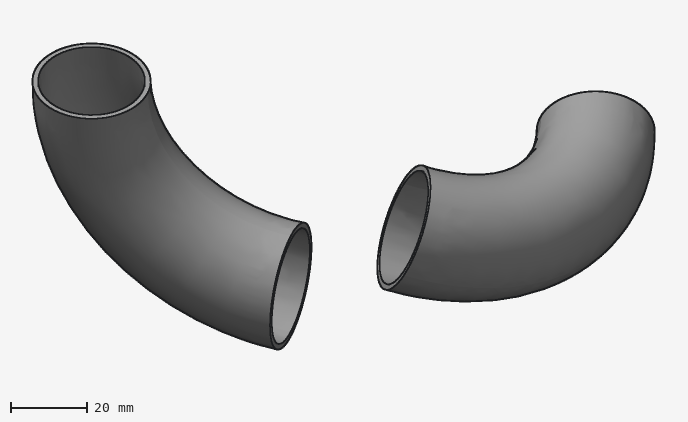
import cadquery as cq
import math

bend_radius = 55.0
small_outer_dia = 30.95
large_outer_dia = 34.0
wall = 1.5

diagonal = bend_radius * math.sqrt(0.5)
start_point = (0, bend_radius)
middle_point = (bend_radius - diagonal, bend_radius - diagonal)
end_point = (bend_radius, 0)


def tapered_bend(start_dia, end_dia):
    """Solid quarter-turn bend whose round section grows along the centreline."""
    path = cq.Workplane("XZ").moveTo(*start_point).threePointArc(middle_point, end_point)
    start_wire = cq.Wire.makeCircle(start_dia / 2, cq.Vector(0, 0, bend_radius), cq.Vector(0, 0, -1))
    end_wire = cq.Wire.makeCircle(end_dia / 2, cq.Vector(bend_radius, 0, 0), cq.Vector(1, 0, 0))
    sections = cq.Workplane("XY").add(start_wire).toPending().add(end_wire).toPending()
    return sections.sweep(path, multisection=True)


outside = tapered_bend(small_outer_dia, large_outer_dia)
bore = tapered_bend(small_outer_dia - 2 * wall, large_outer_dia - 2 * wall)
result = outside.cut(bore)